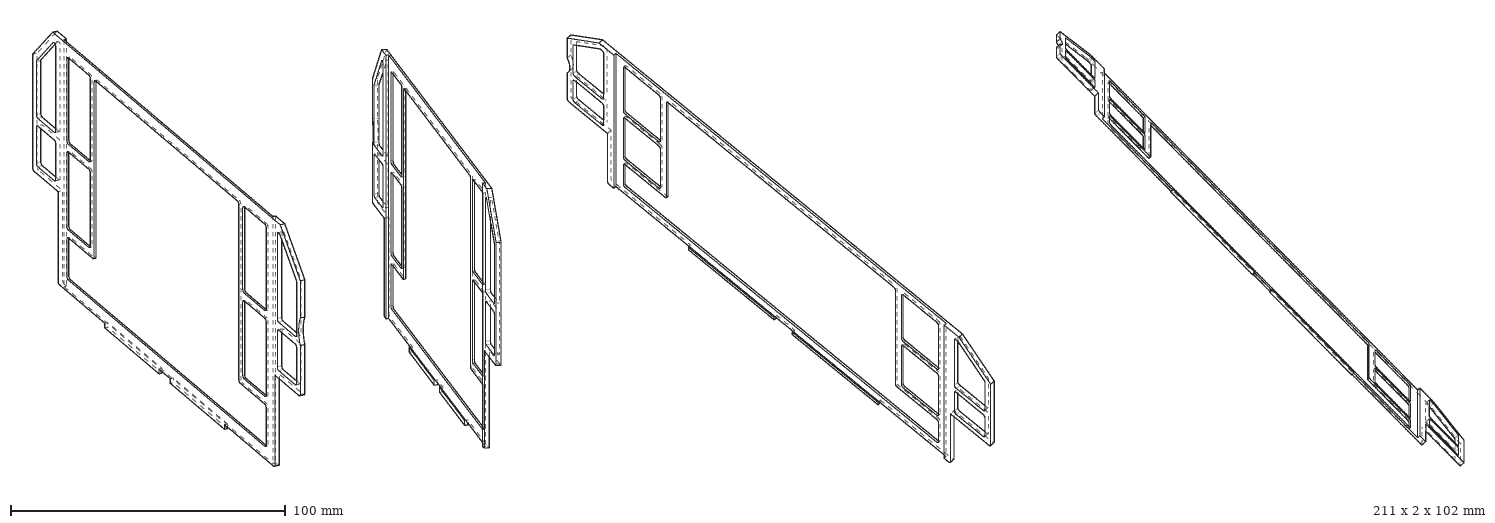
import cadquery as cq

length = 211.0
height = 102.0
reach = length / 2

wing_depth = 2.0
frame_depth = 0.8
tab_depth = 1.3

shoulder_x = 89.6
leg_x = 85.5
thick_x = 82.3
wing_bottom = 39.2
frame_bottom = 2.0

bar = 3.2
rail = 5.0
column_x = 78.5
window_x = 57.0
side_inner_x = 87.3
side_outer_x = 102.5
side_rail = 3.8
side_slant_x = 89.0
cross_bar_top = 62.0
shelf_bottom = 24.0

tab_length = 42.8
tab_gap = 8.9
tabs_center = -1.5
notch_z = 65.5
notch_width = 11.2
notch_sag = 1.3

corner_radius = 1.0


def rectangle(x_min, x_max, z_min, z_max):
    """Corner points of a rectangle in XZ."""
    return [(x_min, z_min), (x_max, z_min), (x_max, z_max), (x_min, z_max)]


def prism(points, depth):
    """Extrude an XZ outline from the front face towards +Y."""
    return cq.Workplane("XZ").polyline(points).close().extrude(-depth)


def cutter(points):
    """Full-depth cutter with rounded corners."""
    return prism(points, wing_depth).edges("|Y").fillet(corner_radius)


def plate():
    """Winged upper plate on a narrower lower plate, thick at both ends and thin between them."""
    wing_corner_z = height - (reach - shoulder_x)
    winged_outline = [
        (-reach, wing_bottom),
        (reach, wing_bottom),
        (reach, wing_corner_z),
        (shoulder_x, height),
        (-shoulder_x, height),
        (-reach, wing_corner_z),
    ]
    leg_outline = rectangle(-leg_x, leg_x, frame_bottom, cross_bar_top)
    upper, lower = [
        prism(outline, wing_depth).edges("|Y and <Z").fillet(corner_radius)
        for outline in (winged_outline, leg_outline)
    ]
    relief = prism(rectangle(-thick_x, thick_x, 0, height), wing_depth - frame_depth)
    return upper.union(lower).cut(relief.translate((0, frame_depth, 0)))


def side_openings(side):
    """Outlines of two openings in a wing and two in the column beside it; side is -1 or 1."""
    side_top = height - side_rail
    slant_drop = side_outer_x - side_slant_x
    upper_side = [
        (side * side_inner_x, cross_bar_top),
        (side * side_outer_x, cross_bar_top),
        (side * side_outer_x, side_top - slant_drop),
        (side * side_slant_x, side_top),
        (side * side_inner_x, side_top),
    ]
    inner, outer = side * side_inner_x, side * side_outer_x
    lower_top = cross_bar_top - bar
    lower_side = rectangle(inner, outer, wing_bottom + bar, lower_top)
    near, far = side * (window_x + bar), side * column_x
    upper_column = rectangle(near, far, cross_bar_top, height - rail)
    lower_column = rectangle(near, far, shelf_bottom + bar, lower_top)
    return [upper_side, lower_side, upper_column, lower_column]


def central_window():
    """Outline of the T-shaped window, wider below the shelves of the columns."""
    bottom = frame_bottom + rail
    return [
        (-column_x, bottom),
        (column_x, bottom),
        (column_x, shelf_bottom),
        (window_x, shelf_bottom),
        (window_x, height - rail),
        (-window_x, height - rail),
        (-window_x, shelf_bottom),
        (-column_x, shelf_bottom),
    ]


def tab(side):
    """Tab hanging below the bottom rail."""
    near = tabs_center + side * tab_gap / 2
    far = near + side * tab_length
    return prism(rectangle(near, far, 0, frame_bottom), tab_depth)


def edge_notch():
    """Shallow arc cut into the right edge."""
    half = notch_width / 2
    return (
        cq.Workplane("XZ")
        .moveTo(reach, notch_z - half)
        .threePointArc((reach - notch_sag, notch_z), (reach, notch_z + half))
        .close()
        .extrude(-wing_depth)
    )


result = plate().cut(cutter(central_window())).cut(edge_notch())
for side in (-1, 1):
    for opening in side_openings(side):
        result = result.cut(cutter(opening))
    result = result.union(tab(side))